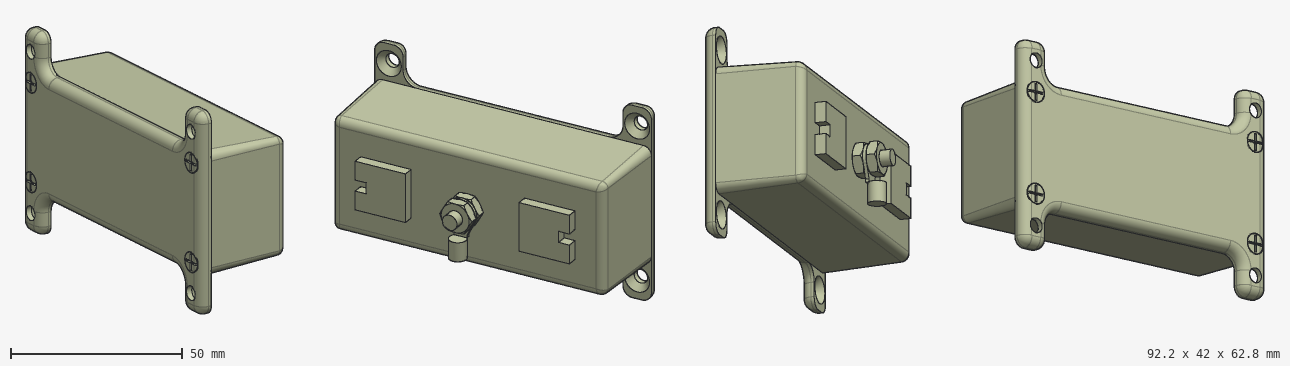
import cadquery as cq
import math

length = 92.2
ear_span = 62.8
overall_depth = 41.95

cover_thickness = 4.1
body_width = 38.4
ear_width = 9.5
ear_corner_radius = 3.1
ear_root_radius = 4.7
cover_edge_radius = 3.0
ear_center_x = (length - ear_width) / 2
mount_hole_diameter = 4.4
mount_hole_z = 25.0
countersink_diameter = 8.3
countersink_depth = 2.2

screw_z = 15.4
head_diameter = 6.3
head_groove_width = 0.1
head_groove_depth = 0.5
cross_length = 5.0
cross_width = 0.6
cross_depth = 0.9

housing_back_y = 31.1
housing_height = housing_back_y - cover_thickness
housing_corner_radius = 2.7
housing_draft = 1.9
housing_edge_radius = 2.6

block_length = 16.8
block_width = 15.9
block_height = 3.3
block_center_x = 27.3
notch_width = 3.6
notch_depth = notch_width

stud_diameter = 4.9
nut_across_flats = 9.3
nut_thickness = 3.2
nut_chamfer_angle = 30.0
lug_thickness = 1.1
lug_ring_radius = 4.8
neck_half_width = 2.1
neck_top_z = -6.5
barrel_top_z = -7.3
barrel_length = 6.3
barrel_diameter = 5.5
lug_y = housing_back_y + nut_thickness
outer_nut_y = lug_y + lug_thickness

SIDES = (-1, 1)


def plane_at(y):
    """Workplane parallel to XZ at height y; extrude by a negative length to go towards +Y."""
    return cq.Workplane("XZ", origin=(0, y, 0))


def four_places(x, z):
    return [(side_x * x, side_z * z) for side_x in SIDES for side_z in SIDES]


def make_cover():
    plate = plane_at(0).rect(length, ear_span).extrude(-cover_thickness)

    notch_length = length - 2 * ear_width
    notch_reach = ear_span - body_width
    for side in SIDES:
        notch = (
            plane_at(0)
            .center(0, side * ear_span / 2)
            .rect(notch_length, notch_reach)
            .extrude(-cover_thickness)
            .edges("|Y")
            .fillet(ear_root_radius)
        )
        plate = plate.cut(notch)

    plate = plate.faces(">Z or <Z").edges("|Y").fillet(ear_corner_radius)
    plate = plate.faces("<Y").edges().fillet(cover_edge_radius)

    mount_holes = (
        plane_at(0)
        .pushPoints(four_places(ear_center_x, mount_hole_z))
        .circle(mount_hole_diameter / 2)
        .extrude(-cover_thickness)
    )
    plate = plate.cut(mount_holes)

    countersink = cq.Solid.makeCone(
        mount_hole_diameter / 2,
        countersink_diameter / 2,
        countersink_depth,
        pnt=cq.Vector(0, cover_thickness - countersink_depth, 0),
        dir=cq.Vector(0, 1, 0),
    )
    for x, z in four_places(ear_center_x, mount_hole_z):
        plate = plate.cut(cq.Workplane(countersink.translate(cq.Vector(x, 0, z))))

    screw_places = four_places(ear_center_x, screw_z)
    grooves = (
        plane_at(0)
        .pushPoints(screw_places)
        .circle(head_diameter / 2)
        .circle(head_diameter / 2 - head_groove_width)
        .extrude(-head_groove_depth)
    )
    flat_slots = plane_at(0).pushPoints(screw_places).rect(cross_length, cross_width).extrude(-cross_depth)
    upright_slots = plane_at(0).pushPoints(screw_places).rect(cross_width, cross_length).extrude(-cross_depth)
    return plate.cut(grooves).cut(flat_slots).cut(upright_slots)


def make_housing():
    outline = cq.Sketch().rect(length, body_width).vertices().fillet(housing_corner_radius)
    block = plane_at(cover_thickness).placeSketch(outline).extrude(-housing_height, taper=housing_draft)
    return block.faces(">Y").edges().fillet(housing_edge_radius)


def make_block(side):
    """Block with a notch in its outer end; side is -1 or 1 along X."""
    center_x = side * block_center_x
    outer_x = center_x + side * block_length / 2
    base = plane_at(housing_back_y)
    block = base.center(center_x, 0).rect(block_length, block_width).extrude(-block_height)
    notch = base.center(outer_x, 0).rect(2 * notch_depth, notch_width).extrude(-block_height)
    return block.cut(notch)


def make_stud():
    return plane_at(housing_back_y).circle(stud_diameter / 2).extrude(housing_back_y - overall_depth)


def make_nut(y):
    """Hex nut with corners on X, both rims chamfered, its inner face at height y."""
    corner_radius = nut_across_flats / math.sqrt(3)
    rim_radius = nut_across_flats / 2
    chamfer_height = (corner_radius - rim_radius) * math.tan(math.radians(nut_chamfer_angle))
    hexagon = plane_at(y).polygon(6, 2 * corner_radius).extrude(-nut_thickness)
    envelope = (
        cq.Workplane("XY")
        .moveTo(0, y)
        .lineTo(rim_radius, y)
        .lineTo(corner_radius, y + chamfer_height)
        .lineTo(corner_radius, y + nut_thickness - chamfer_height)
        .lineTo(rim_radius, y + nut_thickness)
        .lineTo(0, y + nut_thickness)
        .close()
        .revolve(360, (0, 0, 0), (0, 1, 0))
    )
    bore = plane_at(y).circle(stud_diameter / 2).extrude(-nut_thickness)
    return hexagon.intersect(envelope).cut(bore)


def make_lug():
    """Ring terminal: a ring narrowing along its tangents to a neck that carries a round barrel."""
    neck_reach = math.hypot(neck_half_width, neck_top_z)
    tangent_angle = math.atan2(neck_half_width, -neck_top_z) + math.acos(lug_ring_radius / neck_reach)
    tangent_x = lug_ring_radius * math.sin(tangent_angle)
    tangent_z = -lug_ring_radius * math.cos(tangent_angle)
    barrel_bottom_z = barrel_top_z - barrel_length
    plate = (
        plane_at(lug_y)
        .moveTo(-tangent_x, tangent_z)
        .threePointArc((0, lug_ring_radius), (tangent_x, tangent_z))
        .lineTo(neck_half_width, neck_top_z)
        .lineTo(neck_half_width, barrel_top_z)
        .lineTo(-neck_half_width, barrel_top_z)
        .lineTo(-neck_half_width, neck_top_z)
        .close()
        .extrude(-lug_thickness)
    )
    barrel = (
        cq.Workplane("XY", origin=(0, lug_y + barrel_diameter / 2, barrel_bottom_z))
        .circle(barrel_diameter / 2)
        .extrude(barrel_length)
    )
    bore = plane_at(lug_y).circle(stud_diameter / 2).extrude(-lug_thickness)
    return plate.union(barrel).cut(bore)


cover = make_cover()
housing = make_housing()
blocks = [make_block(side) for side in SIDES]
stud = make_stud()
nuts = [make_nut(y) for y in (housing_back_y, outer_nut_y)]
lug = make_lug()

result = cq.Compound.makeCompound(
    [
        cover.val(),
        housing.val(),
        *[block.val() for block in blocks],
        stud.val(),
        *[nut.val() for nut in nuts],
        lug.val(),
    ]
)